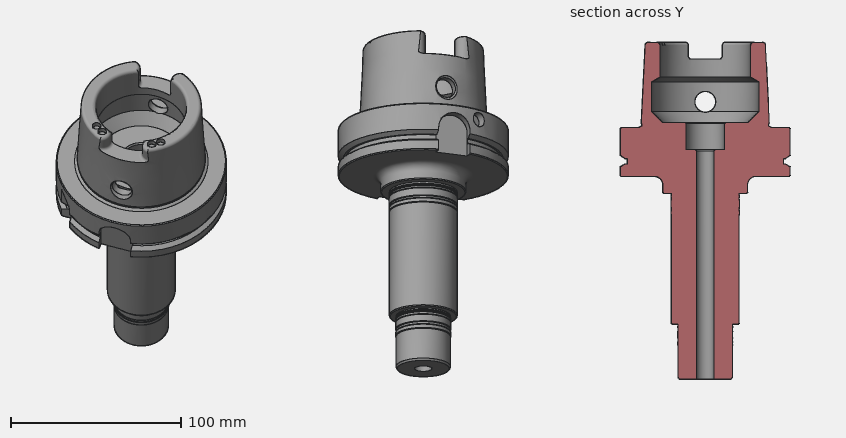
import cadquery as cq
import math


ARC_MID_OFFSET = 1 - math.sqrt(0.5)

LENGTH = 198.0
TAPER_LENGTH = 50.0
FLANGE_TOP = LENGTH - TAPER_LENGTH
FLANGE_BOTTOM = 119.0
COLLAR_BOTTOM = 109.0
STEM_BOTTOM = 32.3

FLANGE_DIA = 100.0
COLLAR_DIA = 50.0
STEM_DIA = 40.0
STEM_LAND_DIA = 40.4
NOSE_DIA = 32.0
NOSE_LAND_DIA = 32.5

TAPER_BASE_DIA = 75.5
TAPER_BASE_GAP = 2.5
TAPER_BASE_Z = FLANGE_TOP + TAPER_BASE_GAP
TAPER_SLOPE = 0.05
NECK_RADIUS = 37.5
NECK_FOOT_HEIGHT = 1.0
TAPER_CHAMFER_HEIGHT = 0.5
NECK_BOTTOM = FLANGE_TOP + NECK_FOOT_HEIGHT
NECK_TOP = TAPER_BASE_Z - TAPER_CHAMFER_HEIGHT
NECK_FOOT_RADIUS = 39.2

GROOVE_CONE_TOP = 131.5
GROOVE_TOP = 129.5
GROOVE_BOTTOM = 126.5
GROOVE_CONE_BOTTOM = 125.0
GROOVE_SHOULDER_RADIUS = 47.1
GROOVE_FLOOR_RADIUS = 46.0

FLANGE_CHAMFER = 0.5
COLLAR_FILLET = 4.8
COLLAR_CHAMFER = 0.5
STEM_CHAMFER = 0.5
NOSE_CHAMFER_RADIAL = 0.8
NOSE_CHAMFER_HEIGHT = 1.2
RIM_ROUND = 2.0

LAND_CHAMFER_HEIGHT = 0.5
STEM_LANDS = [(96.5, 99.4), (100.4, 105.7), (106.7, 108.1)]
NOSE_LANDS = [(19.6, 22.5), (23.8, 28.7), (29.9, 31.5)]

MOUTH_DIA = 53.0
MOUTH_LENGTH = 20.5
CAVITY_DIA = 63.0
CAVITY_FLOOR_DIA = 50.0
CAVITY_DEPTH = 47.1
CLAMP_ANGLE = 30.0

COUNTERBORE_DIA = 22.4
COUNTERBORE_MOUTH_DIA = 24.0
COUNTERBORE_DEPTH = 15.8
COOLANT_DIA = 10.0
COOLANT_MOUTH_DIA = 12.0

DRIVE_SLOT_WIDTH = 19.8
FRONT_DRIVE_DEPTH = 9.9
BACK_DRIVE_DEPTH = 14.8
DRIVE_FLAT_DISTANCE = 32.3
DRIVE_CORNER_RADIUS = 5.5
DRIVE_FLOOR_FILLET = 1.8

CROSS_DIA = 12.0
CROSS_DEPTH = 35.0
CROSS_Z = LENGTH - CROSS_DEPTH
CROSS_CHAMFER = 1.4

RIM_HOLE_DIA = 5.0
RIM_HOLE_DEPTH = 3.0
RIM_HOLE_TIP = 1.4
RIM_HOLE_CIRCLE_RADIUS = 30.7
RIM_HOLE_ANGLES = (30.0, 40.3)

NOTCH_WIDTH = 19.8
NOTCH_ARCH_Z = 133.0
KEYWAY_FLOOR = 44.5
CORNER_NOTCH_WALL = 31.3

POCKET_DIA = 8.5
POCKET_Z = 141.5
POCKET_ANGLE = 19.0
POCKET_DEPTH = 5.0


def taper_radius(z):
    return TAPER_BASE_DIA / 2 - TAPER_SLOPE * (z - TAPER_BASE_Z)


def turned_body():
    nose = NOSE_DIA / 2
    stem = STEM_DIA / 2
    collar = COLLAR_DIA / 2
    flange = FLANGE_DIA / 2
    fillet_mid = COLLAR_FILLET * ARC_MID_OFFSET
    return (
        cq.Workplane("XZ")
        .moveTo(0, 0)
        .lineTo(nose - NOSE_CHAMFER_RADIAL, 0)
        .lineTo(nose, NOSE_CHAMFER_HEIGHT)
        .lineTo(nose, STEM_BOTTOM)
        .lineTo(stem - STEM_CHAMFER, STEM_BOTTOM)
        .lineTo(stem, STEM_BOTTOM + STEM_CHAMFER)
        .lineTo(stem, COLLAR_BOTTOM)
        .lineTo(collar - COLLAR_CHAMFER, COLLAR_BOTTOM)
        .lineTo(collar, COLLAR_BOTTOM + COLLAR_CHAMFER)
        .lineTo(collar, FLANGE_BOTTOM - COLLAR_FILLET)
        .threePointArc(
            (collar + fillet_mid, FLANGE_BOTTOM - fillet_mid),
            (collar + COLLAR_FILLET, FLANGE_BOTTOM),
        )
        .lineTo(flange - FLANGE_CHAMFER, FLANGE_BOTTOM)
        .lineTo(flange, FLANGE_BOTTOM + FLANGE_CHAMFER)
        .lineTo(flange, GROOVE_CONE_BOTTOM)
        .lineTo(GROOVE_SHOULDER_RADIUS, GROOVE_BOTTOM)
        .lineTo(GROOVE_FLOOR_RADIUS, GROOVE_BOTTOM)
        .lineTo(GROOVE_FLOOR_RADIUS, GROOVE_TOP)
        .lineTo(GROOVE_SHOULDER_RADIUS, GROOVE_TOP)
        .lineTo(flange, GROOVE_CONE_TOP)
        .lineTo(flange, FLANGE_TOP - FLANGE_CHAMFER)
        .lineTo(flange - FLANGE_CHAMFER, FLANGE_TOP)
        .lineTo(NECK_FOOT_RADIUS, FLANGE_TOP)
        .lineTo(NECK_RADIUS, NECK_BOTTOM)
        .lineTo(NECK_RADIUS, NECK_TOP)
        .lineTo(TAPER_BASE_DIA / 2, TAPER_BASE_Z)
        .lineTo(taper_radius(LENGTH), LENGTH)
        .lineTo(0, LENGTH)
        .close()
        .revolve(360, (0, 0), (0, 1))
    )


def land(base_dia, land_dia, bottom, top):
    """Raised ring with sloped flanks on a cylinder."""
    return (
        cq.Workplane("XZ")
        .moveTo(0, bottom)
        .lineTo(base_dia / 2, bottom)
        .lineTo(land_dia / 2, bottom + LAND_CHAMFER_HEIGHT)
        .lineTo(land_dia / 2, top - LAND_CHAMFER_HEIGHT)
        .lineTo(base_dia / 2, top)
        .lineTo(0, top)
        .close()
        .revolve(360, (0, 0), (0, 1))
    )


def bore():
    mouth = MOUTH_DIA / 2
    cavity = CAVITY_DIA / 2
    cavity_floor = CAVITY_FLOOR_DIA / 2
    mouth_z = LENGTH - MOUTH_LENGTH
    clamp_z = mouth_z - (cavity - mouth) * math.tan(math.radians(CLAMP_ANGLE))
    floor_z = LENGTH - CAVITY_DEPTH
    counterbore_z = floor_z - COUNTERBORE_DEPTH
    counterbore_chamfer = (COUNTERBORE_MOUTH_DIA - COUNTERBORE_DIA) / 2
    coolant_chamfer = (COOLANT_MOUTH_DIA - COOLANT_DIA) / 2
    return (
        cq.Workplane("XZ")
        .moveTo(0, 0)
        .lineTo(COOLANT_DIA / 2, 0)
        .lineTo(COOLANT_DIA / 2, counterbore_z - coolant_chamfer)
        .lineTo(COOLANT_MOUTH_DIA / 2, counterbore_z)
        .lineTo(COUNTERBORE_DIA / 2, counterbore_z)
        .lineTo(COUNTERBORE_DIA / 2, floor_z - counterbore_chamfer)
        .lineTo(COUNTERBORE_MOUTH_DIA / 2, floor_z)
        .lineTo(cavity_floor, floor_z)
        .lineTo(cavity, floor_z + cavity - cavity_floor)
        .lineTo(cavity, clamp_z)
        .lineTo(mouth, mouth_z)
        .lineTo(mouth, LENGTH)
        .lineTo(0, LENGTH)
        .close()
        .revolve(360, (0, 0), (0, 1))
    )


def drive_slot(depth, side):
    """Slot through the taper rim with flared, round-topped walls; side is +1 for +Y, -1 for -Y."""
    half_width = DRIVE_SLOT_WIDTH / 2
    flare = half_width + DRIVE_CORNER_RADIUS
    inner = DRIVE_FLAT_DISTANCE / 2
    outer = FLANGE_DIA / 2
    arc_start = DRIVE_FLAT_DISTANCE - DRIVE_CORNER_RADIUS
    arc_mid = DRIVE_CORNER_RADIUS * ARC_MID_OFFSET
    floor_z = LENGTH - depth
    wall_y = (inner + arc_start) / 2
    wall = (
        cq.Workplane("XY", origin=(0, 0, floor_z))
        .moveTo(half_width, inner)
        .lineTo(half_width, arc_start)
        .threePointArc(
            (half_width + arc_mid, DRIVE_FLAT_DISTANCE - arc_mid),
            (flare, DRIVE_FLAT_DISTANCE),
        )
        .lineTo(outer, DRIVE_FLAT_DISTANCE)
        .lineTo(outer, inner)
        .close()
        .extrude(depth)
        .edges(cq.selectors.NearestToPointSelector((half_width, wall_y, LENGTH)))
        .fillet(RIM_ROUND)
    )
    block = (
        cq.Workplane("XY", origin=(0, 0, floor_z))
        .moveTo(-outer, inner)
        .lineTo(outer, inner)
        .lineTo(outer, outer)
        .lineTo(-outer, outer)
        .close()
        .extrude(depth)
    )
    slot = block.cut(wall).cut(wall.mirror("YZ"))
    for x in (half_width, -half_width):
        wall_foot = cq.selectors.NearestToPointSelector((x, wall_y, floor_z))
        slot = slot.edges(wall_foot).fillet(DRIVE_FLOOR_FILLET)
    return slot if side > 0 else slot.mirror("XZ")


def cross_hole():
    """Hole along Y through both taper walls, countersunk at each outer surface."""
    radius = CROSS_DIA / 2
    outer = TAPER_BASE_DIA / 2
    cone_start = taper_radius(CROSS_Z) - CROSS_CHAMFER
    cone_end_radius = radius + outer - cone_start
    return (
        cq.Workplane("XY")
        .workplane(offset=CROSS_Z)
        .moveTo(0, -outer)
        .lineTo(cone_end_radius, -outer)
        .lineTo(radius, -cone_start)
        .lineTo(radius, cone_start)
        .lineTo(cone_end_radius, outer)
        .lineTo(0, outer)
        .close()
        .revolve(360, (0, 0), (0, 1))
    )


def rim_hole(angle):
    """Drilled hole with a conical tip, at an angle from -Y about Z."""
    return (
        cq.Workplane("XZ")
        .moveTo(0, LENGTH)
        .lineTo(RIM_HOLE_DIA / 2, LENGTH)
        .lineTo(RIM_HOLE_DIA / 2, LENGTH - RIM_HOLE_DEPTH)
        .lineTo(0, LENGTH - RIM_HOLE_DEPTH - RIM_HOLE_TIP)
        .close()
        .revolve(360, (0, 0), (0, 1))
        .translate((0, -RIM_HOLE_CIRCLE_RADIUS, 0))
        .rotate((0, 0, 0), (0, 0, 1), angle)
    )


def flange_notch(center_x, floor):
    """Round-topped notch that removes everything beyond Y = -floor."""
    half_width = NOTCH_WIDTH / 2
    return (
        cq.Workplane("XZ", origin=(center_x, -floor, 0))
        .moveTo(-half_width, FLANGE_BOTTOM)
        .lineTo(half_width, FLANGE_BOTTOM)
        .lineTo(half_width, NOTCH_ARCH_Z)
        .threePointArc((0, NOTCH_ARCH_Z + half_width), (-half_width, NOTCH_ARCH_Z))
        .close()
        .extrude(FLANGE_DIA / 2)
    )


def rim_pocket():
    return (
        cq.Workplane("XZ", origin=(0, FLANGE_DIA / 2 - POCKET_DEPTH, POCKET_Z))
        .circle(POCKET_DIA / 2)
        .extrude(-2 * POCKET_DEPTH)
        .rotate((0, 0, 0), (0, 0, 1), POCKET_ANGLE)
    )


result = turned_body().cut(bore()).faces(">Z").edges().fillet(RIM_ROUND)
result = result.cut(drive_slot(FRONT_DRIVE_DEPTH, -1)).cut(drive_slot(BACK_DRIVE_DEPTH, 1))

for bottom, top in STEM_LANDS:
    result = result.union(land(STEM_DIA, STEM_LAND_DIA, bottom, top).cut(bore()))
for bottom, top in NOSE_LANDS:
    result = result.union(land(NOSE_DIA, NOSE_LAND_DIA, bottom, top).cut(bore()))

result = result.cut(cross_hole())
for angle in RIM_HOLE_ANGLES:
    result = result.cut(rim_hole(angle)).cut(rim_hole(-angle))

keyway = flange_notch(0, KEYWAY_FLOOR)
corner_notch = flange_notch(-CORNER_NOTCH_WALL - NOTCH_WIDTH / 2, CORNER_NOTCH_WALL)
result = result.cut(keyway).cut(keyway.mirror("XZ")).cut(corner_notch).cut(rim_pocket())